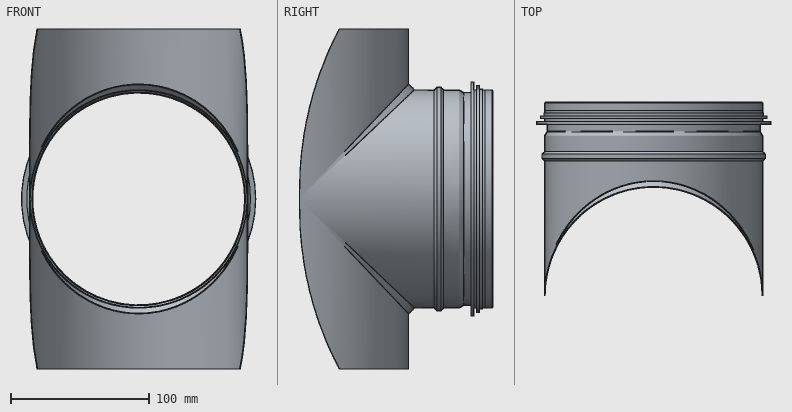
import cadquery as cq
import math

sheet = 0.5
tube_radius = 79.0
saddle_height = 246.0
branch_end = 140.0
edge_rise = 28.8
edge_flat = 7.5
flare_width = 4.2
flare_ratio = 1 + flare_width / tube_radius

groove_radius = 77.12
groove_top = 134.0
groove_wall_top = 118.8
groove_wall_low = 115.5
rim_bevel = 0.7
groove_bend = 1.2

bead_radius = 81.0
bead_top = 104.3
bead_crest_top = 102.3
bead_crest_low = 99.5
bead_low = 97.5

seal_radius = 79.0
seal_collar_radius = 79.5
small_lip_radius = 82.2
large_lip_radius = 84.75
seal_low = 124.0
large_lip_top = 126.2
small_lip_low = 128.2
small_lip_top = 130.1
collar_top = 132.3

reach = 295.2


def shell(outer, inner):
    """Sheet between two solids made by the same function."""
    return outer.cut(inner)


def side_profile(points):
    """Prism across X from (y, z) points."""
    return cq.Workplane("YZ").polyline(points).close().extrude(reach / 2, both=True)


def saddle_cylinder(radius):
    return cq.Workplane("XY").circle(radius).extrude(saddle_height / 2)


def flare_cylinder(radius):
    """Elliptic cylinder at 45 degrees that bridges two equal cylinders of this radius."""
    semi_axis = radius * (1 + flare_ratio) / math.sqrt(2)
    half_length = reach / 2
    start = (0, -half_length / math.sqrt(2), half_length / math.sqrt(2))
    plane = cq.Plane(origin=start, xDir=(0, 1, 1), normal=(0, 1, -1))
    return cq.Workplane(plane).ellipse(semi_axis, radius).extrude(reach)


def branch_outline():
    """(radius, y) points of the branch wall."""
    inner_radius = tube_radius - sheet
    bore_radius = groove_radius - sheet
    return [
        (bore_radius, branch_end),
        (tube_radius - rim_bevel, branch_end),
        (tube_radius, branch_end - rim_bevel),
        (tube_radius, groove_top),
        (groove_radius, groove_top),
        (groove_radius, groove_wall_top),
        (tube_radius, groove_wall_low),
        (tube_radius, bead_top),
        (bead_radius, bead_crest_top),
        (bead_radius, bead_crest_low),
        (tube_radius, bead_low),
        (tube_radius, 0),
        (inner_radius, 0),
        (inner_radius, groove_wall_low),
        (bore_radius, groove_wall_top),
    ]


def revolve_about_y(points):
    return cq.Workplane("XY").polyline(points).close().revolve(360, (0, 0, 0), (0, 1, 0))


def make_fitting():
    saddle_zone = side_profile([(0, 0), (reach, reach * flare_ratio), (0, reach * flare_ratio)])
    flare_zone = side_profile([(0, 0), (reach, reach * flare_ratio), (reach * flare_ratio, reach)])
    branch_zone = side_profile([(0, 0), (reach * flare_ratio, reach), (reach * flare_ratio, 0)])

    inner_radius = tube_radius - sheet
    saddle = shell(saddle_cylinder(tube_radius), saddle_cylinder(inner_radius))
    flare = shell(flare_cylinder(tube_radius), flare_cylinder(inner_radius))
    branch = revolve_about_y(branch_outline())
    lower_groove_wall = cq.selectors.BoxSelector(
        (-reach, groove_wall_low - groove_bend, -reach), (reach, groove_wall_top + groove_bend, reach))
    branch = branch.edges("%CIRCLE").edges(lower_groove_wall).fillet(groove_bend)

    upper = saddle.intersect(saddle_zone)
    upper = upper.union(flare.intersect(flare_zone))
    upper = upper.union(branch.intersect(branch_zone))

    half_height = saddle_height / 2
    arc_length = half_height - edge_flat
    edge_radius = (arc_length**2 + edge_rise**2) / (2 * edge_rise)
    arc_angle = math.asin(arc_length / edge_radius) / 2
    arc_middle = (
        edge_radius * (1 - math.cos(arc_angle)),
        edge_flat + edge_radius * math.sin(arc_angle),
    )
    edge_trim = (
        cq.Workplane("YZ")
        .lineTo(0, edge_flat)
        .threePointArc(arc_middle, (edge_rise, half_height))
        .lineTo(reach, half_height)
        .lineTo(reach, 0)
        .close()
        .extrude(reach / 2, both=True)
    )
    upper = upper.intersect(edge_trim)

    return upper.union(upper.mirror("XY")).solids()


def make_seal():
    return revolve_about_y([
        (groove_radius, seal_low),
        (large_lip_radius, seal_low),
        (large_lip_radius, large_lip_top),
        (seal_radius, large_lip_top),
        (seal_radius, small_lip_low),
        (small_lip_radius, small_lip_low),
        (small_lip_radius, small_lip_top),
        (seal_collar_radius, small_lip_top),
        (seal_collar_radius, collar_top),
        (seal_radius, collar_top),
        (seal_radius, groove_top),
        (groove_radius, groove_top),
    ])


fitting = make_fitting()
seal = make_seal()
result = cq.Compound.makeCompound([fitting.val(), seal.val()])